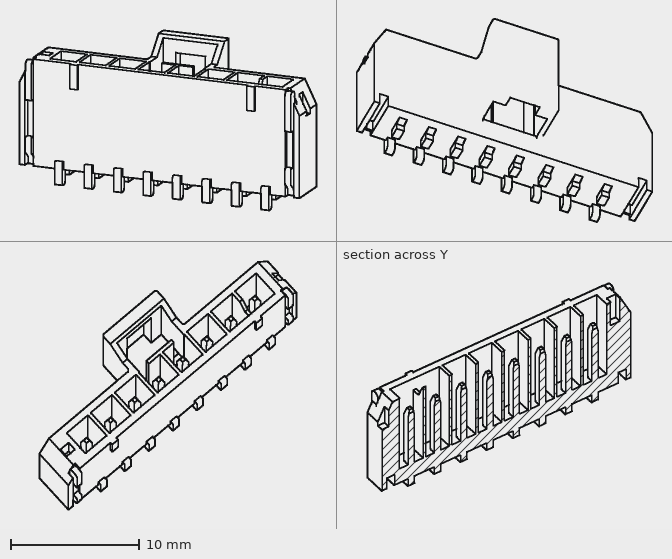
import cadquery as cq

length = 23.75
depth = 3.45
height = 8.71
end_chamfer_width = 1.0
end_chamfer_height = 2.0

contact_count = 8
row_span = 17.5
pitch = row_span / (contact_count - 1)
row_center = 0.3
cavity_size = 2.2
cavity_front = 0.65
cavity_floor = 1.5
cavity_back = cavity_front + cavity_size
cavity_center_y = cavity_front + cavity_size / 2
contact_xs = [row_center - row_span / 2 + i * pitch for i in range(contact_count)]

notch_depth = 1.19
notch_flat_end = 1.33
notch_slope_end = 1.95

pin_width = 0.65
pin_tip_width = 0.3
pin_taper = 0.65
pin_top = 7.0
foot_front = -0.3
foot_back = 0.35
foot_top = 0.66
foot_bottom = -1.23
foot_round = 0.15
foot_heel_round = 0.3
tail_front = 1.15
tail_back = 2.11
tail_bottom = -0.74
tail_root = 0.24
tail_flare_back = 2.68
tail_flare_height = 0.2

latch_width = 5.6
latch_opening = 4.6
latch_back = 6.67
latch_bottom = 2.02
latch_rise = 1.47
latch_flat = 0.95
latch_wall = 1.19
latch_round = 0.2
latch_top = height + latch_rise
catch_width = 2.52
catch_depth = 0.9
catch_top = 8.85
rib_width = 2.6
rib_back = 3.15

key_width = 0.62
key_depth = 0.21
key_height = 2.0

slot_center = 11.05
slot_width = 0.71
slot_depth = 0.55
slot_through_height = 1.07
nail_center = 11.0
nail_width = 0.5
nail_back = slot_depth
nail_front = -0.3
nail_recess = 0.15
nail_top = 8.6
hook_round = 0.4
upper_tab_bottom = 5.37
lower_tab_top = 2.37
lower_tab_bottom = 1.12
leg_front = 0.3
leg_top = 0.65
leg_round = 0.47
leg_end_round = 0.2
nail_tab_round = 0.15
lower_tab_round = 0.24

pocket_width = 0.85
pocket_front = 1.42
pocket_back = 2.15
pocket_floor = 6.35
pocket_centers = (-10.37, 11.65)


def box(x_range, y_range, z_range):
    size = [high - low for low, high in (x_range, y_range, z_range)]
    low_corner = (x_range[0], y_range[0], z_range[0])
    return cq.Workplane("XY").box(*size, centered=False).translate(low_corner)


def around(center, width):
    return (center - width / 2, center + width / 2)


def side_profile(center_x, width):
    """Workplane for a YZ outline that is extruded along +X over the given width."""
    return cq.Workplane("YZ", origin=(center_x - width / 2, 0, 0))


def housing_block():
    end_x = length / 2
    top_x = end_x - end_chamfer_width
    shoulder = height - end_chamfer_height
    outline = [
        (-end_x, 0),
        (end_x, 0),
        (end_x, shoulder),
        (top_x, height),
        (-top_x, height),
        (-end_x, shoulder),
    ]
    return cq.Workplane("XZ").polyline(outline).close().extrude(-depth)


def latch_hood():
    flat_front = latch_back - latch_flat
    outline = [
        (cavity_back, latch_bottom),
        (latch_back, latch_bottom),
        (latch_back, latch_top),
        (flat_front, latch_top),
        (flat_front - latch_rise, height),
        (cavity_back, height),
    ]
    return side_profile(row_center, latch_width).polyline(outline).close().extrude(latch_width)


def round_latch(part):
    """Round the hood's upright corners and lower rim, including where they meet the housing."""
    margin = 0.02
    half_width = latch_width / 2 + margin
    hood_edges = cq.selectors.BoxSelector(
        (row_center - half_width, depth - margin, latch_bottom - margin),
        (row_center + half_width, latch_back + margin, latch_top - margin),
    )
    upright = part.edges("|Z").edges(hood_edges)
    rim = part.edges("#Z").edges(hood_edges).edges("<Z")
    return part.newObject(upright.vals() + rim.vals()).fillet(latch_round)


def latch_opening_cut():
    inner_back = latch_back - latch_wall
    opening = around(row_center, latch_opening)
    window = box(opening, (cavity_back, depth), (latch_bottom, latch_top))
    shaft = box(opening, (depth, inner_back), (0, latch_top))
    catch = box(around(row_center, catch_width), (depth, inner_back + catch_depth), (0, catch_top))
    rib = box(around(row_center, rib_width), (cavity_back, rib_back), (latch_bottom, height))
    return window.union(shaft).union(catch).cut(rib)


def partition_notch():
    last_partition = (contact_xs[-2] + contact_xs[-1]) / 2
    width = pitch - cavity_size
    bottom = height - notch_depth
    outline = [
        (cavity_front, bottom),
        (notch_flat_end, bottom),
        (notch_slope_end, height),
        (cavity_front, height),
    ]
    return side_profile(last_partition, width).polyline(outline).close().extrude(width)


def nail_slot(center_x):
    across = around(center_x, slot_width)
    front_slot = box(across, (0, slot_depth), (0, height))
    bottom_slot = box(across, (0, depth), (0, slot_through_height))
    return front_slot.union(bottom_slot)


def nail(center_x):
    """Upright strip with a rounded hook on top, two tabs out of the front face and a leg set back below."""
    across = around(center_x, nail_width)
    strip = box(across, (nail_recess, nail_back), (lower_tab_bottom, upper_tab_bottom))
    hook = box(across, (nail_front, nail_back), (upper_tab_bottom, nail_top))
    hook = hook.edges("|X and >Z").fillet(hook_round)
    hook = hook.edges("|X and <Y and <Z").fillet(nail_tab_round)
    tab_and_leg = [
        (nail_back, lower_tab_top),
        (nail_front, lower_tab_top),
        (nail_front, lower_tab_bottom),
        (leg_front, leg_top),
        (leg_front, 0),
        (nail_back, 0),
    ]
    tab = side_profile(center_x, nail_width).polyline(tab_and_leg).close().extrude(nail_width)
    corner_rounds = (nail_tab_round, lower_tab_round, leg_round, leg_end_round)
    for corner, radius in zip(tab_and_leg[1:5], corner_rounds):
        tab = tab.edges(cq.selectors.NearestToPointSelector((center_x, *corner))).fillet(radius)
    return strip.union(hook).union(tab)


def contact(center_x):
    across = around(center_x, pin_width)
    pin_y = around(cavity_center_y, pin_width)
    shoulder = pin_top - pin_taper
    pin = box(across, pin_y, (0, shoulder))
    tip = (
        cq.Workplane("XY", origin=(center_x, cavity_center_y, shoulder))
        .rect(pin_width, pin_width)
        .workplane(offset=pin_taper)
        .rect(pin_tip_width, pin_tip_width)
        .loft(ruled=True)
    )
    foot = box(across, (foot_front, foot_back), (foot_bottom, foot_top))
    foot = foot.edges("|X and <Y").fillet(foot_round)
    foot = foot.edges("|X and >Y and <Z").fillet(foot_heel_round)
    tail_outline = [
        (tail_front, tail_root),
        (tail_front, tail_bottom),
        (tail_back, tail_bottom),
        (tail_back, -tail_flare_height),
        (tail_flare_back, 0),
        (tail_flare_back, tail_root),
    ]
    tail = side_profile(center_x, pin_width).polyline(tail_outline).close().extrude(pin_width)
    return pin.union(tip).union(foot).union(tail)


def front_key(center_x):
    return box(around(center_x, key_width), (-key_depth, 0), (height - key_height, height))


result = round_latch(housing_block().union(latch_hood()))

for x in contact_xs:
    cavity = box(around(x, cavity_size), (cavity_front, cavity_back), (cavity_floor, height))
    result = result.cut(cavity)
result = result.cut(latch_opening_cut())
result = result.cut(partition_notch())
for x in pocket_centers:
    pocket = box(around(x, pocket_width), (pocket_front, pocket_back), (pocket_floor, height))
    result = result.cut(pocket)

for side in (-1, 1):
    result = result.cut(nail_slot(side * slot_center))
    result = result.union(nail(side * nail_center))

for x in contact_xs:
    result = result.union(contact(x))
for x in (contact_xs[0] + pitch / 2, contact_xs[-1] - pitch / 2):
    result = result.union(front_key(x))